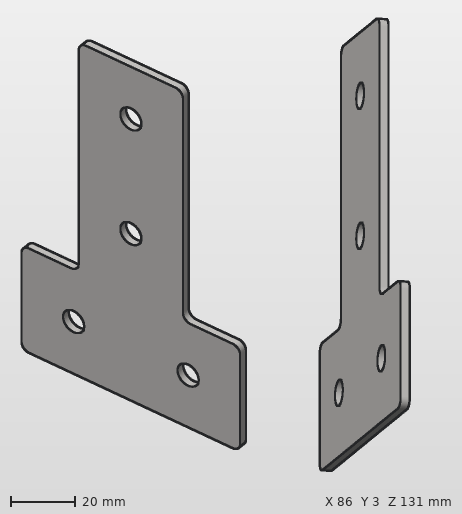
import cadquery as cq

height = 131
arm_width = 41.0
thickness = 3.0
hole_diameter = 8.3
corner_radius = 3.0

edge_margin = arm_width / 2
hole_pitch = (height - arm_width) / 2
base_length = hole_pitch + arm_width


def upright_bar(length, bar_height):
    """Plate bar centred on X and Y, standing on Z = 0."""
    return cq.Workplane("XY").box(length, thickness, bar_height, centered=(True, True, False))


base = upright_bar(base_length, arm_width)
stem = upright_bar(arm_width, height)
plate = base.union(stem)

inner_corners = cq.selectors.BoxSelector(
    (-arm_width / 2 - corner_radius, -thickness, arm_width - corner_radius),
    (arm_width / 2 + corner_radius, thickness, arm_width + corner_radius),
)
plate = plate.edges("|Y").edges(inner_corners).fillet(corner_radius)

for bar_length, bar_level in ((base_length, 0), (base_length, arm_width), (arm_width, height)):
    for side in (-1, 1):
        corner = (side * bar_length / 2, 0, bar_level)
        plate = plate.edges("|Y").edges(cq.selectors.NearestToPointSelector(corner)).fillet(corner_radius)

hole_centres = [
    (-hole_pitch / 2, edge_margin),
    (hole_pitch / 2, edge_margin),
    (0, edge_margin + hole_pitch),
    (0, edge_margin + 2 * hole_pitch),
]
holes = (
    cq.Workplane("XZ", origin=(0, thickness / 2, 0))
    .pushPoints(hole_centres)
    .circle(hole_diameter / 2)
    .extrude(thickness)
)

result = plate.cut(holes)